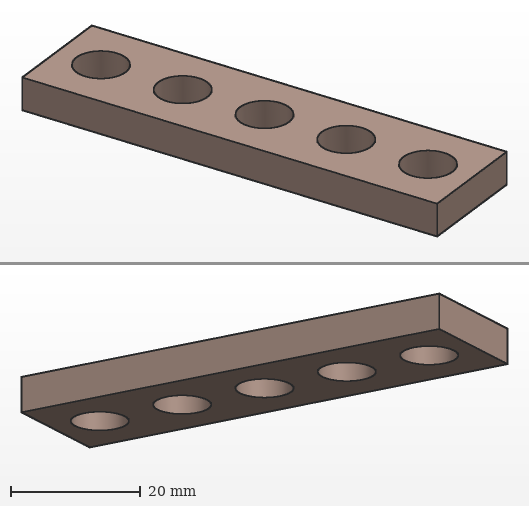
import cadquery as cq

length = 76.0
width = 20.0
thickness = 5.8

hole_diameter = 9.0
hole_count = 5
hole_pitch = 15.0

bar = cq.Workplane("XY").box(length, width, thickness)

result = (
    bar.faces(">Z")
    .workplane()
    .rarray(hole_pitch, 0.75, hole_count, 1)
    .hole(hole_diameter)
)